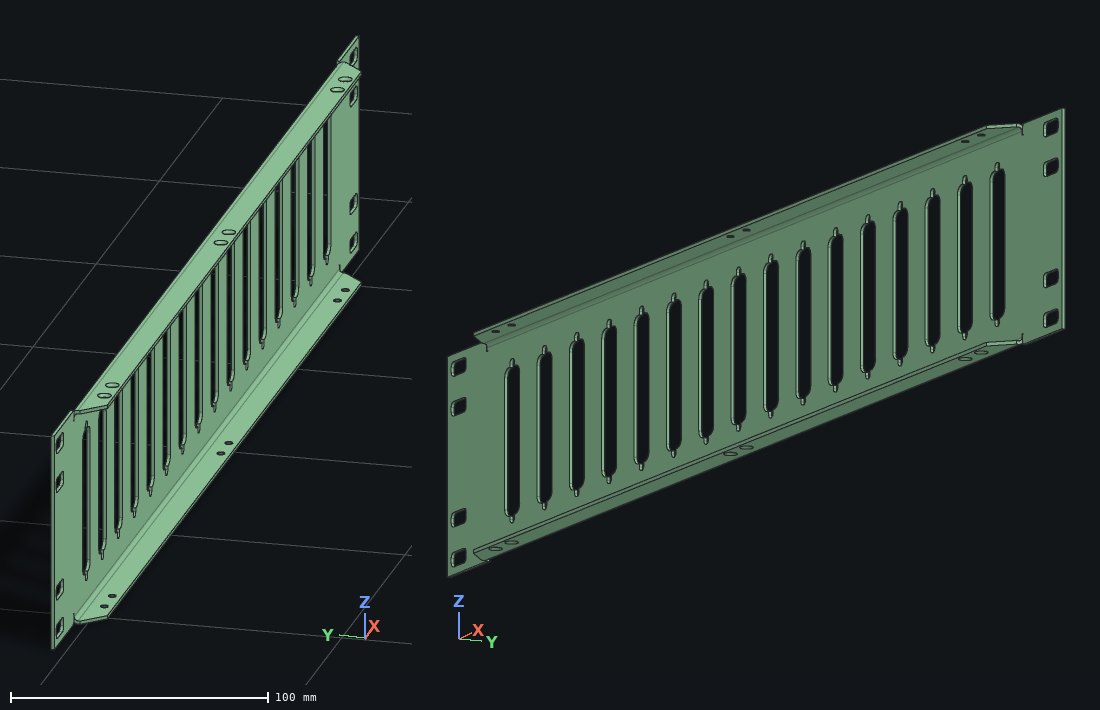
import cadquery as cq
import math

panel_width = 482.5
panel_height = 88.5
panel_depth = 12.5
sheet = 1.5
bend_inside = 1.55
bend_outside = bend_inside + sheet

flange_length = 420.0
flange_chamfer = 8.5
relief_width = 0.5
relief_depth = 4.5

vent_count = 16
vent_row_length = 381.0
vent_pitch = vent_row_length / (vent_count - 1)
vent_width = 11.5
vent_height = 59.5
vent_corner = 3.5
notch_width = 3.5
notch_depth = 3.15

mount_spacing_x = 464.7
mount_heights = (22.0, 38.0)
mount_length = 11.5
mount_width = 6.0
mount_corner = 2.0

pair_spacing = 184.5
screw_spacing = 12.5
screw_from_back = 8.5
screw_diameter = 3.0
sink_diameter = 5.5
sink_angle = 90

half_height = panel_height / 2
half_flange = flange_length / 2


def make_plate():
    """Flat plate, set back to the bend tangent over the length of the flanges."""
    plate = cq.Workplane("XY").box(panel_width, sheet, panel_height).translate((0, -sheet / 2, 0))
    bend_gap = cq.Workplane("XY").box(flange_length, panel_depth, 2 * bend_outside)
    for side in (-1, 1):
        plate = plate.cut(bend_gap.translate((0, 0, side * half_height)))
    return plate


def make_flange():
    """Top flange with its bend and its chamfered free corners."""
    tangent = half_height - bend_outside
    corner = math.sqrt(0.5)
    outer_mid = (-bend_outside * (1 - corner), tangent + bend_outside * corner)
    inner_mid = (-bend_outside + bend_inside * corner, tangent + bend_inside * corner)
    flange = (
        cq.Workplane("YZ")
        .moveTo(0, tangent)
        .threePointArc(outer_mid, (-bend_outside, half_height))
        .lineTo(-panel_depth, half_height)
        .lineTo(-panel_depth, half_height - sheet)
        .lineTo(-bend_outside, half_height - sheet)
        .threePointArc(inner_mid, (-sheet, tangent))
        .close()
        .extrude(half_flange, both=True)
    )
    return flange.edges("|Z and <Y").chamfer(flange_chamfer)


def cut_screw_holes(flange):
    """Pairs of countersunk holes through the top flange."""
    pairs = [-pair_spacing, 0, pair_spacing]
    spots = [
        (pair + side * screw_spacing / 2, -screw_from_back)
        for pair in pairs
        for side in (-1, 1)
    ]
    plane = flange.faces(">Z").workplane(origin=(0, 0, half_height))
    return plane.pushPoints(spots).cskHole(screw_diameter, sink_diameter, sink_angle, depth=panel_depth)


def make_vents():
    """Row of upright slots with rounded corners and a small round notch in the middle of each end."""
    row = cq.Workplane("XZ").rarray(vent_pitch, 5, vent_count, 1)
    slots = row.rect(vent_width, vent_height).extrude(panel_depth, both=True)
    notches = row.slot2D(vent_height + 2 * notch_depth, notch_width, 90).extrude(panel_depth, both=True)
    return slots.edges("|Y").fillet(vent_corner).union(notches)


def make_mount_slots():
    """Rounded slots near the panel corners, two above and two below the middle at each end."""
    spots = [
        (end * mount_spacing_x / 2, side * height)
        for end in (-1, 1)
        for side in (-1, 1)
        for height in mount_heights
    ]
    return (
        cq.Workplane("XZ")
        .pushPoints(spots)
        .rect(mount_length, mount_width)
        .extrude(panel_depth, both=True)
        .edges("|Y")
        .fillet(mount_corner)
    )


def make_reliefs():
    """Narrow slits beside each end of each bend."""
    spots = [
        (end * (half_flange + relief_width / 2), side * half_height)
        for end in (-1, 1)
        for side in (-1, 1)
    ]
    return (
        cq.Workplane("XZ")
        .pushPoints(spots)
        .rect(relief_width, 2 * relief_depth)
        .extrude(panel_depth, both=True)
    )


top_flange = cut_screw_holes(make_flange())
bottom_flange = top_flange.mirror("XY")
plate = make_plate().cut(make_vents()).cut(make_mount_slots()).cut(make_reliefs())
result = plate.union(top_flange).union(bottom_flange)